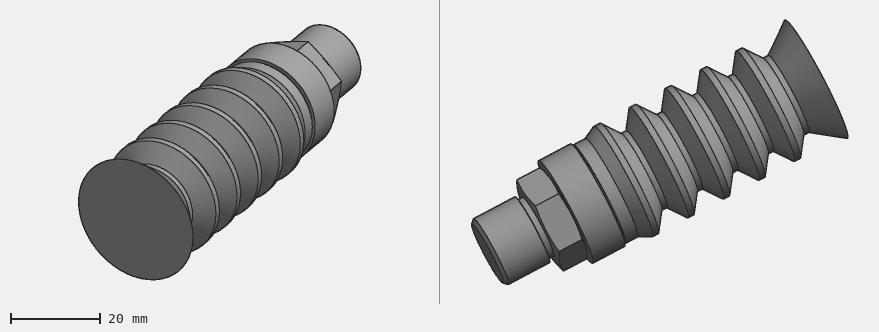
import cadquery as cq
import math

total_length = 83.5

thread_dia = 16.7
neck_dia = 14.95
thread_length = 11.35
thread_chamfer = (thread_dia - neck_dia) / 2
neck_length = 1.5

hex_across_flats = 20.0
hex_length = 7.0
hex_turn = 11.0
hex_face_dia = 19.0
hex_chamfer_angle = 15.0

collar_dia = 26.0
collar_length = 8.1
groove_dia = 24.0
groove_width = 0.4
sleeve_dia = 25.0
sleeve_length = 3.1
shoulder_length = 3.0

fold_count = 5
fold_pitch = 9.0
fold_dia = 28.0
waist_dia = 19.5
fold_rim = 1.5
waist_length = 1.3
fold_slope = (fold_pitch - fold_rim - waist_length) / 2
mouth_dia = 30.0

neck_top = total_length - thread_length
hex_top = neck_top - neck_length
collar_top = hex_top - hex_length
groove_top = collar_top - collar_length
sleeve_top = groove_top - groove_width
shoulder_top = sleeve_top - sleeve_length
first_fold_top = shoulder_top - shoulder_length


def cylinder(diameter, bottom, top):
    """Solid cylinder on the Y axis."""
    plane = cq.Workplane("XZ", origin=(0, bottom, 0))
    return plane.circle(diameter / 2).extrude(bottom - top)


def make_stud():
    """Chamfered thread on a narrower neck."""
    thread = cylinder(thread_dia, neck_top, total_length).faces(">Y").chamfer(thread_chamfer)
    return thread.union(cylinder(neck_dia, hex_top, neck_top))


def make_nut():
    """Hexagon whose corners are bevelled by a cone at both ends."""
    corner_dia = hex_across_flats / math.cos(math.radians(30))
    corner_drop = (corner_dia - hex_face_dia) / 2 * math.tan(math.radians(hex_chamfer_angle))
    prism = (
        cq.Workplane("XZ", origin=(0, collar_top, 0))
        .polygon(6, corner_dia)
        .extrude(-hex_length)
        .rotate((0, 0, 0), (0, 1, 0), hex_turn - 30)
    )
    bevel_profile = [
        (0, collar_top),
        (hex_face_dia / 2, collar_top),
        (corner_dia / 2, collar_top + corner_drop),
        (corner_dia / 2, hex_top - corner_drop),
        (hex_face_dia / 2, hex_top),
        (0, hex_top),
    ]
    bevel = cq.Workplane("XY").polyline(bevel_profile).close().revolve(360, (0, 0, 0), (0, 1, 0))
    return prism.intersect(bevel)


def make_bellows():
    """Sleeve, folds and flared cup, turned from a single outline."""
    outline = [
        (0, sleeve_top),
        (sleeve_dia / 2, sleeve_top),
        (sleeve_dia / 2, shoulder_top),
    ]
    for fold in range(fold_count):
        rim_top = first_fold_top - fold * fold_pitch
        rim_bottom = rim_top - fold_rim
        waist_top = rim_bottom - fold_slope
        outline += [
            (fold_dia / 2, rim_top),
            (fold_dia / 2, rim_bottom),
            (waist_dia / 2, waist_top),
            (waist_dia / 2, waist_top - waist_length),
        ]
    outline += [(mouth_dia / 2, 0), (0, 0)]
    return cq.Workplane("XY").polyline(outline).close().revolve(360, (0, 0, 0), (0, 1, 0))


collar = cylinder(collar_dia, groove_top, collar_top)
groove_core = cylinder(groove_dia, sleeve_top, groove_top)

result = make_bellows().union(groove_core).union(collar).union(make_nut()).union(make_stud())